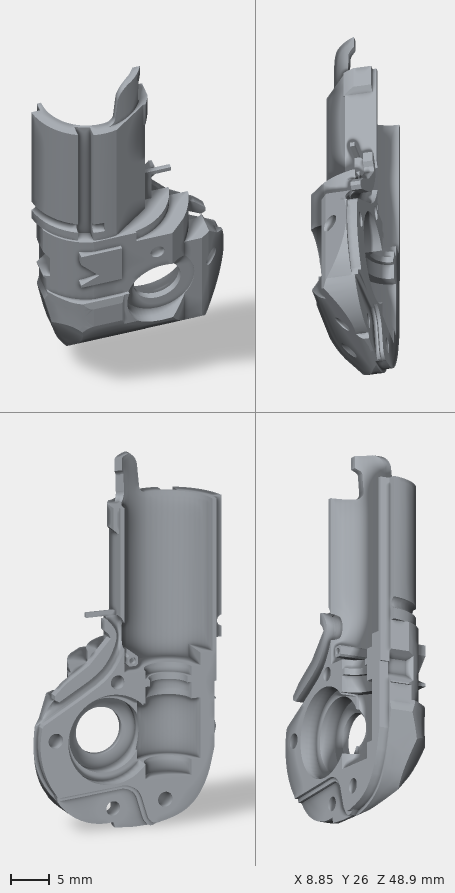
import cadquery as cq


HOUSING_DEPTH = 8.85
LIP_DEPTH = 1.3
OUTER_REACH = 40.0

BORE_RADIUS = 6.1
TUBE_RADIUS = 7.94
TUBE_TOP = 30.85
TUBE_FOOT = 11.86
BORE_FLOOR = 8.7
LIP_HALF_WIDTH = 6.65
KEY_FLAT = 4.43
KEY_TOP = 10.4
THIN_WALL_RADIUS = 6.5
RECESS_START_Y = -3.4
RIB_START_Y = -1.5
RIB_END_Y = 1.6
RIB_CORNER_X = 7.8
FLAT_END = (4.0, 6.86)
GROOVE_BOTTOM = 13.3
GROOVE_TOP = 14.8
GROOVE_DEPTH = 0.6

TAB_REACH = 7.39
TAB_START_X = 0.55
TAB_END_X = 4.4
TAB_BOTTOM = 27.2
TAB_CHAMFER_TOP = 27.9

FINGER_TOP = 36.65
FINGER_RADIUS = 7.0
FINGER_START_X = 3.1
FINGER_ROOT = TUBE_TOP - 1.0

BODY_REACH = 18.2
BODY_TOP = 11.9
LEDGE_TOP = 10.4
BULGE_TOP = 1.66
HOUSING_BOTTOM = -12.26
SHOULDER_DEPTH = 8.1
FACET_POINT = (5.5, -6.7, -3.0)
FACET_NORMAL = (0.67, -0.64, -0.39)
ARM_BOTTOM = 5.8
RELIEF_DEPTH = 0.9
RELIEF_STEP_DEPTH = 0.45
RELIEF_STEP_WIDTH = 0.55

GEAR_Y = 7.86
GEAR_BORES = ((6.03, 2.3), (5.0, 4.6), (3.18, OUTER_REACH))
OUTER_BORE_RADIUS = 5.0
OUTER_BORE_START = 5.5

WORM_RADIUS = 4.43
WORM_BOTTOM = -3.8
WORM_TOP = 4.4
WORM_SIDE_Y = 3.5
SHAFT_RADIUS = 3.18
COLLAR_RADIUS = 2.6
COLLAR_BOTTOM = 6.6
COLLAR_TOP = 7.45
SEAT_BOTTOM = -5.9
SHAFT_SEATS = (
    (SHAFT_RADIUS, COLLAR_TOP, BORE_FLOOR),
    (COLLAR_RADIUS, COLLAR_BOTTOM, COLLAR_TOP),
    (SHAFT_RADIUS, WORM_TOP, COLLAR_BOTTOM),
    (SHAFT_RADIUS, SEAT_BOTTOM, WORM_BOTTOM),
)

SCREW_HOLES = ((7.07, 7.62, 0.93), (15.63, 0.63, 1.0), (7.32, -9.5, 0.95), (0.46, -8.75, 1.0))

CHANNEL_WIDTH = 1.5
CHANNEL_DEPTH = 1.9
CHANNEL_FLOOR = 0.7
WEB_START_Y = 5.1
WEB_END_Y = 8.0
EAR_START_X = 2.0
EAR_REACH = 10.64
EAR_BOTTOM = 16.1
EAR_TOP = 16.7
ARM_REACH = 8.86

CLIP_DEPTH = 8.6
CLIP_INNER = 7.4
CLIP_BOTTOM = 4.7
CLIP_TOP = 10.2
CLIP_NOTCH_TOP = 8.8
CLIP_NOTCH_BOTTOM = 6.2
CLIP_NOTCH_FOOT = 5.1
CLIP_NOTCH_Y = -1.0
CLIP_START_Y = -3.4
CLIP_END_Y = 2.1

POCKET_MOUTH = (6.0, 3.0, 8.5)
POCKET_FLOOR = (4.4, 5.2, 7.1)
POCKET_MOUTH_Y = -7.94
POCKET_FLOOR_Y = -5.6

POST_Y = 4.86
POST_Z = 10.2
POST_SIZE = 1.45
POST_START_X = 0.3
POST_CHAMFER = 0.25
POST_HOLE_RADIUS = 0.45
POST_HOLE_END_X = 1.0
POST_OVERLAP = 0.2


def box(x_range, y_range, z_range):
    """Axis-aligned box from its three ranges."""
    x0, x1 = x_range
    y0, y1 = y_range
    z0, z1 = z_range
    return cq.Workplane("XY").box(x1 - x0, y1 - y0, z1 - z0, centered=False).translate((x0, y0, z0))


def rod(radius, z0, z1):
    """Cylinder on the motor axis."""
    return cq.Workplane("XY").workplane(offset=z0).circle(radius).extrude(z1 - z0)


def cross_rod(radius, y, z, x0, x1):
    """Cylinder along X."""
    return cq.Workplane("YZ").workplane(offset=x0).center(y, z).circle(radius).extrude(x1 - x0)


def front_half():
    """Everything on the +X side of the parting face."""
    return box((0, OUTER_REACH), (-OUTER_REACH, OUTER_REACH), (-OUTER_REACH, OUTER_REACH))


def motor_tube():
    tube = rod(TUBE_RADIUS, TUBE_FOOT, TUBE_TOP).intersect(front_half())
    tube = tube.cut(box((0, OUTER_REACH), (LIP_HALF_WIDTH, OUTER_REACH), (BODY_TOP, TUBE_TOP)))
    tube = tube.cut(box((0, LIP_DEPTH), (-OUTER_REACH, -LIP_HALF_WIDTH), (TUBE_FOOT, TUBE_TOP)))
    recess = box((0, OUTER_REACH), (RECESS_START_Y, RIB_START_Y), (TUBE_FOOT, TUBE_TOP))
    recess = recess.cut(rod(THIN_WALL_RADIUS, TUBE_FOOT, TUBE_TOP))
    return tube.cut(recess).cut(tube_flat())


def tube_flat():
    """Material outside the flat between the rib and the tab."""
    return (
        cq.Workplane("XY")
        .workplane(offset=TUBE_FOOT)
        .moveTo(RIB_CORNER_X, RIB_END_Y)
        .lineTo(*FLAT_END)
        .lineTo(OUTER_REACH, FLAT_END[1])
        .lineTo(OUTER_REACH, RIB_END_Y)
        .close()
        .extrude(TUBE_TOP - TUBE_FOOT)
    )


def retaining_groove():
    middle = (GROOVE_BOTTOM + GROOVE_TOP) / 2
    ring = (
        cq.Workplane("XZ")
        .moveTo(TUBE_RADIUS, GROOVE_BOTTOM)
        .threePointArc((TUBE_RADIUS - GROOVE_DEPTH, middle), (TUBE_RADIUS, GROOVE_TOP))
        .lineTo(TUBE_RADIUS + GROOVE_DEPTH, GROOVE_TOP)
        .lineTo(TUBE_RADIUS + GROOVE_DEPTH, GROOVE_BOTTOM)
        .close()
        .revolve(360, (0, 0, 0), (0, 1, 0))
    )
    return ring.intersect(box((LIP_DEPTH, OUTER_REACH), (-OUTER_REACH, 0), (GROOVE_BOTTOM, GROOVE_TOP)))


def mouth_tab():
    tab = (
        cq.Workplane("YZ")
        .workplane(offset=TAB_START_X)
        .moveTo(BORE_RADIUS, TUBE_TOP)
        .lineTo(TAB_REACH, TUBE_TOP)
        .lineTo(TAB_REACH, TAB_CHAMFER_TOP)
        .lineTo(LIP_HALF_WIDTH, TAB_BOTTOM)
        .lineTo(BORE_RADIUS, TAB_BOTTOM)
        .close()
        .extrude(TAB_END_X - TAB_START_X)
    )
    return tab.intersect(rod(TUBE_RADIUS, TAB_BOTTOM, TUBE_TOP))


def finger():
    """Hooked finger: a tall piece of the tube wall, shaped by a straight edge and a hooked edge."""
    straight_edge = (
        cq.Workplane("YZ")
        .moveTo(OUTER_REACH, FINGER_ROOT)
        .lineTo(OUTER_REACH, FINGER_TOP)
        .lineTo(3.7, FINGER_TOP)
        .threePointArc((2.6, 35.9), (2.1, 34.6))
        .lineTo(1.8, 32.0)
        .threePointArc((1.5, 31.2), (0.8, TUBE_TOP))
        .lineTo(0.8, FINGER_ROOT)
        .close()
        .extrude(OUTER_REACH)
    )
    hooked_edge = (
        cq.Workplane("XZ")
        .moveTo(OUTER_REACH, FINGER_ROOT)
        .lineTo(3.2, FINGER_ROOT)
        .lineTo(3.2, TUBE_TOP)
        .threePointArc((3.8, 31.2), (4.0, 32.0))
        .lineTo(3.87, 34.3)
        .threePointArc((3.7, 34.6), (3.45, 34.8))
        .lineTo(FINGER_START_X, 35.05)
        .lineTo(FINGER_START_X, FINGER_TOP)
        .lineTo(OUTER_REACH, FINGER_TOP)
        .close()
        .extrude(-OUTER_REACH)
    )
    wall = rod(FINGER_RADIUS, FINGER_ROOT, FINGER_TOP).cut(rod(BORE_RADIUS, FINGER_ROOT, FINGER_TOP))
    return straight_edge.intersect(hooked_edge).intersect(wall)


def side_outline():
    """Side outline of the gear housing, swept along X."""
    return (
        cq.Workplane("YZ")
        .workplane(offset=LIP_DEPTH)
        .moveTo(-7.1, BODY_TOP)
        .lineTo(-7.1, 0)
        .spline([(-6.05, -5.15), (-4.26, -9.35), (-0.5, -11.75), (4.4, HOUSING_BOTTOM)], includeCurrent=True)
        .lineTo(7.07, -12.1)
        .lineTo(7.28, -11.33)
        .threePointArc((11.5, -10.8), (15.15, -7.66))
        .threePointArc((18.0, -2.3), (17.9, 2.5))
        .lineTo(16.9, 3.2)
        .lineTo(15.15, 5.8)
        .lineTo(15.74, 6.1)
        .lineTo(15.74, 6.7)
        .lineTo(13.0, 9.2)
        .lineTo(13.3, 9.9)
        .lineTo(13.3, LEDGE_TOP)
        .lineTo(10.8, LEDGE_TOP)
        .lineTo(10.8, BODY_TOP)
        .close()
        .extrude(HOUSING_DEPTH - LIP_DEPTH)
    )


def upper_plan():
    """Plan shape of the gear housing above the bulge."""
    return (
        cq.Workplane("XY")
        .workplane(offset=BULGE_TOP)
        .moveTo(0, -TUBE_RADIUS)
        .threePointArc((5.8, -5.8), (SHOULDER_DEPTH, -1.5))
        .lineTo(SHOULDER_DEPTH, 9.1)
        .lineTo(5.6, 11.6)
        .lineTo(5.6, 13.9)
        .lineTo(4.8, 15.0)
        .lineTo(LIP_DEPTH, BODY_REACH)
        .lineTo(0, BODY_REACH)
        .close()
        .extrude(OUTER_REACH)
    )


def lower_plan():
    """Plan shape of the bulge around the gear."""
    return (
        cq.Workplane("XY")
        .workplane(offset=HOUSING_BOTTOM)
        .moveTo(0, -TUBE_RADIUS)
        .lineTo(LIP_DEPTH, -TUBE_RADIUS)
        .spline([(4.5, -7.1), (6.5, -5.7), (7.95, -4.3), (HOUSING_DEPTH, -1.8)], includeCurrent=True)
        .lineTo(HOUSING_DEPTH, 2.1)
        .lineTo(8.5, 2.5)
        .lineTo(8.5, 7.7)
        .lineTo(7.95, 9.25)
        .lineTo(5.6, 11.6)
        .lineTo(5.6, 13.9)
        .lineTo(4.8, 15.0)
        .lineTo(LIP_DEPTH, BODY_REACH)
        .lineTo(0, BODY_REACH)
        .close()
        .extrude(BULGE_TOP - HOUSING_BOTTOM)
    )


def depth_profile():
    """Profile of the gear housing in the XZ plane."""
    return (
        cq.Workplane("XZ")
        .moveTo(0, BODY_TOP)
        .lineTo(SHOULDER_DEPTH, BODY_TOP)
        .lineTo(SHOULDER_DEPTH, BULGE_TOP)
        .lineTo(8.6, BULGE_TOP)
        .lineTo(HOUSING_DEPTH, 0.6)
        .lineTo(HOUSING_DEPTH, -2.5)
        .threePointArc((7.9, -5.0), (6.4, -7.4))
        .lineTo(2.5, -11.4)
        .threePointArc((1.8, -12.0), (RELIEF_DEPTH, HOUSING_BOTTOM))
        .lineTo(0, HOUSING_BOTTOM)
        .close()
        .extrude(OUTER_REACH, both=True)
    )


def arm_step():
    """Material removed behind the arm, outside a curved collar."""
    return (
        cq.Workplane("XY")
        .workplane(offset=ARM_BOTTOM)
        .moveTo(SHOULDER_DEPTH, 9.1)
        .threePointArc((4.7, 12.1), (LIP_DEPTH, 13.4))
        .lineTo(LIP_DEPTH, OUTER_REACH)
        .lineTo(SHOULDER_DEPTH, OUTER_REACH)
        .close()
        .extrude(LEDGE_TOP - ARM_BOTTOM)
    )


def upper_step():
    """Material removed above the ledge, outside a smaller curved collar."""
    return (
        cq.Workplane("XY")
        .workplane(offset=LEDGE_TOP)
        .moveTo(LIP_DEPTH, 10.75)
        .threePointArc((5.6, 8.5), (7.8, 4.2))
        .lineTo(OUTER_REACH, 4.2)
        .lineTo(OUTER_REACH, OUTER_REACH)
        .lineTo(LIP_DEPTH, OUTER_REACH)
        .close()
        .extrude(BODY_TOP - LEDGE_TOP)
    )


def side_flat():
    """Shallow flat on the -Y side above the bulge."""
    return (
        cq.Workplane("YZ")
        .workplane(offset=LIP_DEPTH)
        .moveTo(-OUTER_REACH, 3.6)
        .lineTo(-6.8, 3.6)
        .lineTo(-6.8, 1.15)
        .lineTo(-7.1, 0)
        .lineTo(-OUTER_REACH, 0)
        .close()
        .extrude(HOUSING_DEPTH)
    )


def pocket_section(y, end_x, lower_z, upper_z):
    """Rectangle across the side pocket at one depth."""
    corners = [(LIP_DEPTH, lower_z), (end_x, lower_z), (end_x, upper_z), (LIP_DEPTH, upper_z)]
    return cq.Wire.makePolygon([cq.Vector(x, y, z) for x, z in corners], close=True)


def side_pocket():
    """Pocket with sloping walls in the -Y side."""
    mouth = pocket_section(POCKET_MOUTH_Y, *POCKET_MOUTH)
    floor = pocket_section(POCKET_FLOOR_Y, *POCKET_FLOOR)
    return cq.Workplane(cq.Solid.makeLoft([mouth, floor], True))


def corner_facet():
    """Material outside the sloping facet on the lower -Y corner."""
    facet = cq.Plane(origin=FACET_POINT, normal=FACET_NORMAL)
    return cq.Workplane(facet).rect(OUTER_REACH, OUTER_REACH).extrude(OUTER_REACH)


def gear_housing():
    plan = upper_plan().union(lower_plan())
    housing = side_outline().intersect(plan).intersect(depth_profile())
    housing = housing.cut(arm_step()).cut(upper_step())
    housing = housing.cut(side_flat()).cut(side_pocket())
    outer_bore = cross_rod(OUTER_BORE_RADIUS, GEAR_Y, 0, OUTER_BORE_START, HOUSING_DEPTH)
    return housing.cut(corner_facet()).cut(outer_bore)


def parting_lip():
    """Plate next to the parting face, slightly inside the housing outline."""
    lower_curve = [(-5.6, -5.6), (-4.26, -8.5), (-2.8, -10.1), (-0.5, -11.25), (1.1, -11.65)]
    return (
        cq.Workplane("YZ")
        .moveTo(-LIP_HALF_WIDTH, TUBE_TOP)
        .lineTo(-LIP_HALF_WIDTH, 6.4)
        .lineTo(-6.36, 6.4)
        .lineTo(-6.36, -2.4)
        .spline(lower_curve, includeCurrent=True)
        .lineTo(2.0, -12.16)
        .lineTo(4.4, HOUSING_BOTTOM)
        .lineTo(7.07, -12.1)
        .lineTo(7.28, -11.33)
        .threePointArc((11.5, -10.8), (15.15, -7.66))
        .lineTo(15.45, -6.8)
        .threePointArc((17.5, -2.3), (17.5, 2.5))
        .lineTo(15.15, 5.8)
        .lineTo(15.74, 6.1)
        .lineTo(15.74, 6.7)
        .lineTo(14.3, 8.1)
        .lineTo(11.0, 10.3)
        .lineTo(8.0, 13.6)
        .lineTo(8.3, 14.2)
        .lineTo(ARM_REACH, 14.7)
        .lineTo(ARM_REACH, EAR_BOTTOM)
        .lineTo(LIP_HALF_WIDTH, EAR_BOTTOM)
        .lineTo(LIP_HALF_WIDTH, TUBE_TOP)
        .close()
        .extrude(LIP_DEPTH)
    )


def relief_outline():
    """Outline of the relieved lower corner, open beyond the housing edge."""
    return (
        cq.Workplane("YZ")
        .moveTo(1.1, -OUTER_REACH)
        .lineTo(1.1, -11.65)
        .threePointArc((2.3, -11.6), (2.9, -10.8))
        .lineTo(3.6, -8.5)
        .threePointArc((4.6, -6.9), (6.3, -6.3))
        .lineTo(14.75, -7.05)
        .lineTo(OUTER_REACH, -9.3)
        .lineTo(OUTER_REACH, -OUTER_REACH)
        .close()
    )


def corner_relief():
    """Two-step relief in the lower corner of the parting face."""
    step = relief_outline().extrude(RELIEF_STEP_DEPTH)
    floor = relief_outline().offset2D(-RELIEF_STEP_WIDTH).extrude(RELIEF_DEPTH)
    return step.union(floor)


def channel_backing():
    """Web behind the cable channel, with the thin ear that reaches out from its mouth."""
    depth = CHANNEL_DEPTH + CHANNEL_FLOOR
    web = box((0, depth), (WEB_START_Y, WEB_END_Y), (BODY_TOP, EAR_BOTTOM))
    ear = box((EAR_START_X, depth), (WEB_START_Y, EAR_REACH), (EAR_BOTTOM, EAR_TOP))
    return web.union(ear)


def cable_channel():
    """Curved round-bottomed channel between the parting face and the stepped arm."""
    start = (18.5, 3.0)
    bend_start = (12.0, 6.75)
    run_in = (0, bend_start[0] - start[0], bend_start[1] - start[1])
    run_out = (0, 1, 1)
    route = [start, bend_start, (8.45, 9.35), (6.95, 11.85), (6.5, 14.3), (7.9, 16.6)]
    path = cq.Edge.makeSpline(
        [cq.Vector(0, y, z) for y, z in route],
        tangents=[cq.Vector(*run_in), cq.Vector(*run_out)],
    )
    section_plane = cq.Plane(origin=(0, *start), xDir=(1, 0, 0), normal=run_in)
    section = cq.Workplane(section_plane).slot2D(2 * CHANNEL_DEPTH, CHANNEL_WIDTH)
    return section.sweep(cq.Workplane(cq.Wire.assembleEdges([path])))


def side_clip():
    """Raised block with a sloping notch in its -Y end."""
    return (
        cq.Workplane("YZ")
        .workplane(offset=CLIP_INNER)
        .moveTo(CLIP_END_Y, CLIP_TOP)
        .lineTo(CLIP_START_Y, CLIP_TOP)
        .lineTo(CLIP_START_Y, CLIP_NOTCH_TOP)
        .lineTo(CLIP_NOTCH_Y, CLIP_NOTCH_BOTTOM)
        .lineTo(CLIP_START_Y, CLIP_NOTCH_FOOT)
        .lineTo(CLIP_START_Y, CLIP_BOTTOM)
        .lineTo(CLIP_END_Y, CLIP_BOTTOM)
        .close()
        .extrude(CLIP_DEPTH - CLIP_INNER)
    )


def motor_bore():
    bore = rod(BORE_RADIUS, BORE_FLOOR, TUBE_TOP)
    key = box((0, OUTER_REACH), (-OUTER_REACH, -KEY_FLAT), (BORE_FLOOR, KEY_TOP))
    return bore.cut(key)


def worm_space():
    space = rod(WORM_RADIUS, WORM_BOTTOM, WORM_TOP)
    space = space.cut(box((0, OUTER_REACH), (WORM_SIDE_Y, OUTER_REACH), (WORM_BOTTOM, WORM_TOP)))
    for radius, z0, z1 in SHAFT_SEATS:
        space = space.union(rod(radius, z0, z1))
    return space


def locating_post():
    half = POST_SIZE / 2
    post = box((POST_START_X, BORE_RADIUS), (POST_Y - half, POST_Y + half), (POST_Z - half, POST_Z + half))
    post = post.edges("|X").chamfer(POST_CHAMFER)
    post = post.intersect(rod(BORE_RADIUS + POST_OVERLAP, BORE_FLOOR, TUBE_TOP))
    return post.cut(cross_rod(POST_HOLE_RADIUS, POST_Y, POST_Z, 0, POST_HOLE_END_X))


part = motor_tube().cut(retaining_groove())
part = part.union(gear_housing()).union(parting_lip().cut(corner_relief())).union(mouth_tab())
part = part.union(channel_backing()).union(side_clip())
part = part.cut(motor_bore()).cut(worm_space()).cut(cable_channel())
for bore_radius, bore_depth in GEAR_BORES:
    part = part.cut(cross_rod(bore_radius, GEAR_Y, 0, 0, bore_depth))
for hole_y, hole_z, hole_radius in SCREW_HOLES:
    part = part.cut(cross_rod(hole_radius, hole_y, hole_z, 0, OUTER_REACH))
result = part.union(finger()).union(locating_post())